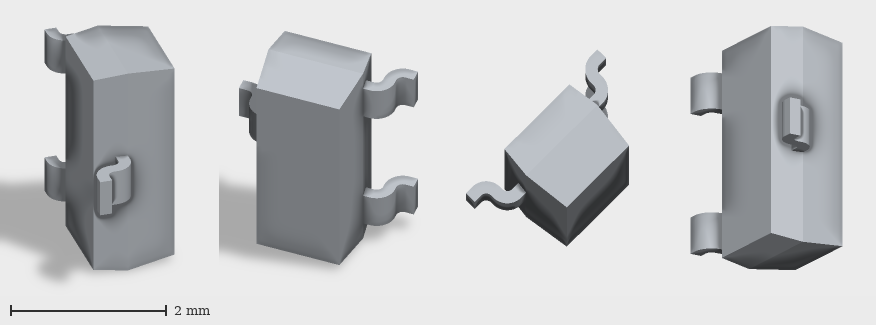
import cadquery as cq
import math

housing_length = 2.92
housing_width = 1.3
draft_angle = 7.0
back_depth = 0.655
front_depth = 0.45

overall_width = 2.4
overall_depth = 1.2
lead_drop = overall_depth - back_depth
lead_thickness = 0.16
lead_width = 0.49
foot_flat = 0.117
inner_radius = 0.09
outer_radius = inner_radius + lead_thickness
left_lead_offset = 0.95

half_width = housing_width / 2
foot_tip = overall_width / 2


def make_housing_half(depth, direction):
    """Tapered block from the parting plane (Y = 0) along Y; direction is +1 or -1."""
    plane = cq.Plane(origin=(0, 0, 0), xDir=(1, 0, 0), normal=(0, direction, 0))
    return (
        cq.Workplane(plane)
        .rect(housing_width, housing_length)
        .extrude(depth, taper=draft_angle)
    )


def make_housing():
    back_half = make_housing_half(back_depth, 1)
    front_half = make_housing_half(front_depth, -1)
    return back_half.union(front_half).solids()


def make_lead(side, z_center):
    """S-bent strip that ends flush on the sloping side wall; side is -1 (left) or +1 (right)."""
    diagonal = math.sqrt(0.5)
    foot_under = -lead_drop
    foot_top = foot_under + lead_thickness
    shoulder_under = -lead_thickness
    bend_start = foot_tip - foot_flat
    riser_inner = bend_start - outer_radius
    riser_outer = riser_inner + lead_thickness
    shoulder_start = riser_inner - inner_radius
    wall_under = half_width - lead_thickness * math.tan(math.radians(draft_angle))

    lower_center_y = foot_under + outer_radius
    upper_center_y = -outer_radius

    def on_arc(center_x, center_y, radius, x_sign, y_sign):
        step = radius * diagonal
        return center_x + x_sign * step, center_y + y_sign * step

    outline = (
        cq.Workplane("XY")
        .workplane(offset=-lead_width / 2)
        .moveTo(half_width, 0)
        .lineTo(shoulder_start, 0)
        .threePointArc(
            on_arc(shoulder_start, upper_center_y, outer_radius, 1, 1),
            (riser_outer, upper_center_y),
        )
        .lineTo(riser_outer, lower_center_y)
        .threePointArc(
            on_arc(bend_start, lower_center_y, inner_radius, -1, -1),
            (bend_start, foot_top),
        )
        .lineTo(foot_tip, foot_top)
        .lineTo(foot_tip, foot_under)
        .lineTo(bend_start, foot_under)
        .threePointArc(
            on_arc(bend_start, lower_center_y, outer_radius, -1, -1),
            (riser_inner, lower_center_y),
        )
        .lineTo(riser_inner, upper_center_y)
        .threePointArc(
            on_arc(shoulder_start, upper_center_y, inner_radius, 1, 1),
            (shoulder_start, shoulder_under),
        )
        .lineTo(wall_under, shoulder_under)
        .close()
    )
    lead = outline.extrude(lead_width)
    if side < 0:
        lead = lead.mirror("YZ")
    return lead.translate((0, 0, z_center))


housing = make_housing()

lead_places = [(-1, left_lead_offset), (-1, -left_lead_offset), (1, 0)]
leads = [make_lead(side, z_center) for side, z_center in lead_places]

result = cq.Compound.makeCompound([housing.val(), *[lead.val() for lead in leads]])